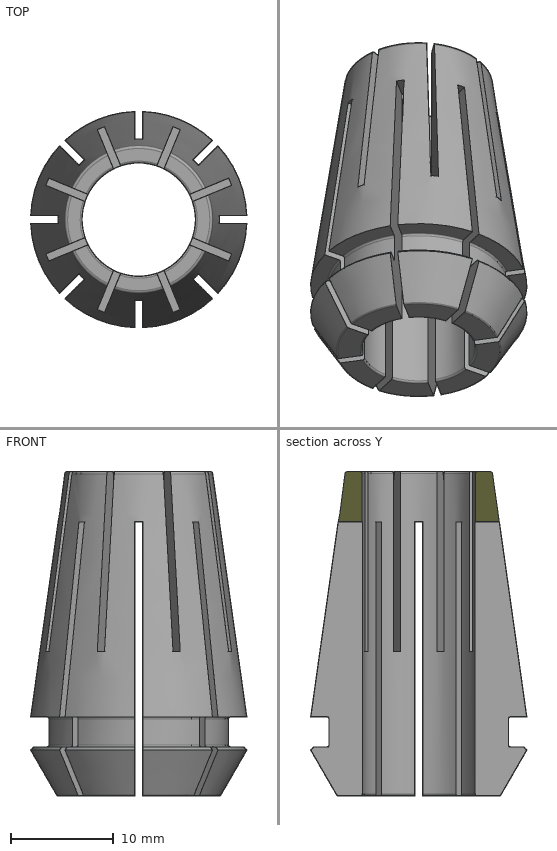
import cadquery as cq
import math

length = 31.5
max_radius = 21.0 / 2
bore_radius = 11.0 / 2

taper_angle = 8.0
taper_base_z = 7.65
taper_top_radius = max_radius - (length - taper_base_z) * math.tan(math.radians(taper_angle))

groove_radius = 8.73
groove_base_z = 4.75
groove_fillet = 0.2
collar_chamfer = 0.3
nose_angle = 30.0
nose_top_z = groove_base_z - collar_chamfer
nose_radius = max_radius - nose_top_z * math.tan(math.radians(nose_angle))

rim_fillet = 0.28
bore_fillet = 0.2
nose_fillet = 0.15

slot_count = 8
slot_width = 0.75
lower_slot_top_z = 26.6
upper_slot_floor_z = 14.02
slot_pitch = 360.0 / slot_count


def circle_edge(body, radius, z):
    """Pick the circular edge of the given radius lying at height z."""
    tolerance = 0.003
    return body.edges("%CIRCLE").filter(
        lambda edge: abs(edge.radius() - radius) < tolerance and abs(edge.Center().z - z) < tolerance
    )


def make_body():
    """Revolve the collet outline, bore included, and soften its circular edges."""
    body = (
        cq.Workplane("XZ")
        .moveTo(bore_radius, 0)
        .lineTo(nose_radius, 0)
        .lineTo(max_radius, nose_top_z)
        .lineTo(max_radius - collar_chamfer, groove_base_z)
        .lineTo(groove_radius, groove_base_z)
        .lineTo(groove_radius, taper_base_z)
        .lineTo(max_radius, taper_base_z)
        .lineTo(taper_top_radius, length)
        .lineTo(bore_radius, length)
        .close()
        .revolve(360, (0, 0, 0), (0, 1, 0))
    )
    for z in (0, length):
        body = circle_edge(body, bore_radius, z).fillet(bore_fillet)
    body = circle_edge(body, taper_top_radius, length).fillet(rim_fillet)
    body = circle_edge(body, nose_radius, 0).fillet(nose_fillet)
    for z in (groove_base_z, taper_base_z):
        body = circle_edge(body, groove_radius, z).fillet(groove_fillet)
    return body


def cut_slots(body, bottom_z, top_z, start_angle):
    """Cut a ring of radial slots through the wall between two heights."""
    slot_reach = 1.2 * max_radius
    slot = cq.Workplane("XY").box(
        slot_reach, slot_width, top_z - bottom_z, centered=(False, True, False)
    ).translate((0, 0, bottom_z))
    for index in range(slot_count):
        body = body.cut(slot.rotate((0, 0, 0), (0, 0, 1), start_angle + index * slot_pitch))
    return body


result = make_body()
result = cut_slots(result, 0, lower_slot_top_z, 0)
result = cut_slots(result, upper_slot_floor_z, length, slot_pitch / 2)